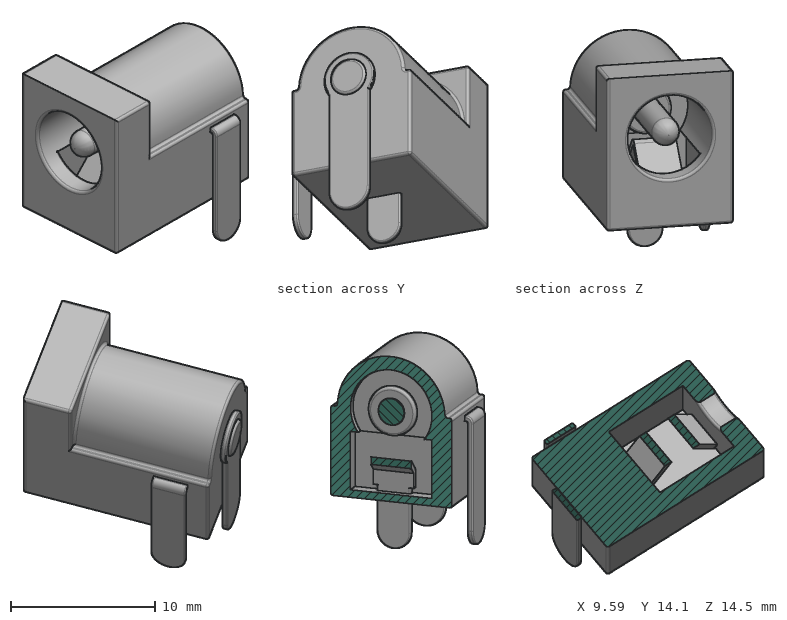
import cadquery as cq
import math


HOUSING_WIDTH = 9.0
HOUSING_LENGTH = 13.5
HOUSING_HEIGHT = 11.0
FRONT_BLOCK_LENGTH = 3.5
BARREL_DIAMETER = 8.02
AXIS_HEIGHT = 6.5
EDGE_RADIUS = 0.2

SHEET = 0.4
SHEET_EDGE_RADIUS = 0.1
INNER_BEND_RADIUS = 0.1
OUTER_BEND_RADIUS = INNER_BEND_RADIUS + SHEET
LEG_DROP = 3.5
NARROW_LEG_WIDTH = 2.5
WIDE_LEG_WIDTH = 3.0

CONTACT_WIDTH = WIDE_LEG_WIDTH
CONTACT_PEAK_HEIGHT = 5.05
CONTACT_PEAK_Y = 4.9
CONTACT_FOOT_Y = 1.9
CONTACT_LEG_Y = 7.5
CONTACT_SHOULDER_HEIGHT = 1.0

BORE_DIAMETER = 6.0
BORE_DEPTH = CONTACT_LEG_Y
CAVITY_WIDTH = BORE_DIAMETER
CAVITY_START_Y = 1.6
CAVITY_END_Y = CONTACT_LEG_Y + SHEET
CAVITY_FLOOR = 0.58
CAVITY_CEILING = 4.75

PIN_DIAMETER = 1.95
PIN_TIP_Y = 0.58
FLANGE_DIAMETER = 3.54
FLANGE_LENGTH = 0.4
RIVET_HEAD_DIAMETER = 2.65
RIVET_HEAD_LENGTH = 0.19
NEARLY_FULL = 0.99

REAR_EYE_DIAMETER = 3.74

SIDE_TERMINAL_Y = 10.75
SIDE_TERMINAL_TOP = 6.0
SIDE_TERMINAL_GAP = 0.19
SIDE_TERMINAL_INSERTION = 1.0


def cylinder_along_y(diameter, start_y, length):
    """Cylinder on the jack axis that starts at start_y and grows toward the rear."""
    plane = cq.Plane(origin=(0, start_y, AXIS_HEIGHT), xDir=(1, 0, 0), normal=(0, 1, 0))
    return cq.Workplane(plane).circle(diameter / 2).extrude(length)


def box_from(x_min, y_min, z_min, x_max, y_max, z_max):
    """Box between two opposite corners."""
    size = (x_max - x_min, y_max - y_min, z_max - z_min)
    return cq.Workplane("XY").box(*size, centered=False).translate((x_min, y_min, z_min))


def leg_outline(plane, width, top):
    """Sketch of a flat leg with a full-round tip, centred on the plane's local X axis."""
    half = width / 2
    return (
        cq.Workplane(plane)
        .moveTo(-half, top)
        .lineTo(-half, half - LEG_DROP)
        .threePointArc((0, -LEG_DROP), (half, half - LEG_DROP))
        .lineTo(half, top)
        .close()
    )


def make_housing_shell():
    """Front block and barrel on a rectangular base.

    All edges are rounded except the top front one and those where the shoulders meet the block.
    """
    half = HOUSING_WIDTH / 2
    block = box_from(-half, 0, 0, half, FRONT_BLOCK_LENGTH, HOUSING_HEIGHT)
    base = box_from(-half, 0, 0, half, HOUSING_LENGTH, AXIS_HEIGHT)
    barrel = cylinder_along_y(BARREL_DIAMETER, FRONT_BLOCK_LENGTH, HOUSING_LENGTH - FRONT_BLOCK_LENGTH)
    shell = block.union(base).union(barrel).clean()
    rounded = cq.selectors.Selector()
    shoulder_x = (half + BARREL_DIAMETER / 2) / 2
    sharp_points = [
        (0, 0, HOUSING_HEIGHT),
        (-shoulder_x, FRONT_BLOCK_LENGTH, AXIS_HEIGHT),
        (shoulder_x, FRONT_BLOCK_LENGTH, AXIS_HEIGHT),
    ]
    for point in sharp_points:
        rounded = rounded - cq.selectors.NearestToPointSelector(point)
    return shell.edges(rounded).fillet(EDGE_RADIUS)


def make_housing(inserts):
    """Housing with its rounded bore mouth and cavity lip, recessed to match the inserted metal parts."""
    bore = cylinder_along_y(BORE_DIAMETER, 0, BORE_DEPTH)
    housing = make_housing_shell().cut(bore)
    mouth = cq.selectors.RadiusNthSelector(-1)
    housing = housing.faces("<Y").edges("%CIRCLE").edges(mouth).fillet(EDGE_RADIUS)

    cavity = box_from(
        -CAVITY_WIDTH / 2, CAVITY_START_Y, CAVITY_FLOOR,
        CAVITY_WIDTH / 2, CAVITY_END_Y, CAVITY_CEILING,
    )
    lip = cq.selectors.NearestToPointSelector((0, CAVITY_START_Y, AXIS_HEIGHT - BORE_DIAMETER / 2))
    housing = housing.cut(cavity).edges(lip).fillet(EDGE_RADIUS)
    for insert in inserts:
        housing = housing.cut(insert)
    return housing


def make_pin():
    """Pin with a round tip, a flange on the bore floor and a rivet head behind the rear terminal."""
    head_y = HOUSING_LENGTH + SHEET
    flange_y = BORE_DEPTH - FLANGE_LENGTH

    shaft = cylinder_along_y(PIN_DIAMETER, PIN_TIP_Y, head_y - PIN_TIP_Y)
    shaft = shaft.faces("<Y").edges().fillet(NEARLY_FULL * PIN_DIAMETER / 2)
    flange = cylinder_along_y(FLANGE_DIAMETER, flange_y, FLANGE_LENGTH)
    flange = flange.faces("<Y").edges().fillet(EDGE_RADIUS)
    head = cylinder_along_y(RIVET_HEAD_DIAMETER, head_y, RIVET_HEAD_LENGTH)
    head = head.faces(">Y").edges().fillet(NEARLY_FULL * RIVET_HEAD_LENGTH)
    return shaft.union(flange).union(head)


def make_rear_terminal():
    """Flat terminal on the rear face: an eye around the pin above a straight leg."""
    plane = cq.Plane(origin=(0, HOUSING_LENGTH, 0), xDir=(-1, 0, 0), normal=(0, 1, 0))
    leg = leg_outline(plane, WIDE_LEG_WIDTH, AXIS_HEIGHT).extrude(SHEET)
    eye = cylinder_along_y(REAR_EYE_DIAMETER, HOUSING_LENGTH, SHEET)
    plate = leg.union(eye).faces("<Y or >Y").edges().fillet(SHEET_EDGE_RADIUS)
    return plate.cut(cylinder_along_y(PIN_DIAMETER, HOUSING_LENGTH, SHEET))


def make_side_terminal():
    """Terminal that leaves the +X side of the housing and bends down into a leg."""
    inside_x = HOUSING_WIDTH / 2 - SIDE_TERMINAL_INSERTION
    inner_x = HOUSING_WIDTH / 2 + SIDE_TERMINAL_GAP
    outer_x = inner_x + SHEET
    centre_y = SIDE_TERMINAL_Y
    bend = cq.selectors.NearestToPointSelector

    arm = box_from(
        inside_x, centre_y - NARROW_LEG_WIDTH / 2, SIDE_TERMINAL_TOP - SHEET,
        outer_x, centre_y + NARROW_LEG_WIDTH / 2, SIDE_TERMINAL_TOP,
    )
    plane = cq.Plane(origin=(inner_x, centre_y, 0), xDir=(0, 1, 0), normal=(1, 0, 0))
    leg = leg_outline(plane, NARROW_LEG_WIDTH, SIDE_TERMINAL_TOP).extrude(SHEET)
    terminal = arm.union(leg).clean()
    terminal = terminal.edges(bend((outer_x, centre_y, SIDE_TERMINAL_TOP))).fillet(OUTER_BEND_RADIUS)
    terminal = terminal.edges(bend((inner_x, centre_y, SIDE_TERMINAL_TOP - SHEET))).fillet(INNER_BEND_RADIUS)
    return terminal.faces("<Y").edges("not <X").fillet(SHEET_EDGE_RADIUS)


def make_contact():
    """Spring contact: a strip folded at 45 degrees to a peak in the bore, above a narrower leg."""
    leg_front = CONTACT_LEG_Y
    leg_back = CONTACT_LEG_Y + SHEET
    apex = CONTACT_PEAK_HEIGHT + OUTER_BEND_RADIUS * (math.sqrt(2) - 1)
    inner_apex = apex - SHEET * math.sqrt(2)
    end_step = SHEET / math.sqrt(2)
    foot_height = apex - (CONTACT_PEAK_Y - CONTACT_FOOT_Y)
    half = CONTACT_WIDTH / 2

    strip = (
        cq.Workplane("YZ", origin=(-half, 0, 0))
        .polyline([
            (CONTACT_FOOT_Y, foot_height),
            (CONTACT_PEAK_Y, apex),
            (leg_back, apex - (leg_back - CONTACT_PEAK_Y)),
            (leg_back, CONTACT_SHOULDER_HEIGHT),
            (leg_front, CONTACT_SHOULDER_HEIGHT),
            (leg_front, inner_apex - (leg_front - CONTACT_PEAK_Y)),
            (CONTACT_PEAK_Y, inner_apex),
            (CONTACT_FOOT_Y + end_step, foot_height - end_step),
        ])
        .close()
        .extrude(CONTACT_WIDTH)
    )
    bend = cq.selectors.NearestToPointSelector
    strip = strip.edges(bend((0, CONTACT_PEAK_Y, apex))).fillet(OUTER_BEND_RADIUS)
    strip = strip.edges(bend((0, CONTACT_PEAK_Y, inner_apex))).fillet(INNER_BEND_RADIUS)

    plane = cq.Plane(origin=(0, leg_back, 0), xDir=(1, 0, 0), normal=(0, -1, 0))
    leg = leg_outline(plane, NARROW_LEG_WIDTH, CONTACT_SHOULDER_HEIGHT).extrude(SHEET)
    leg = leg.faces("<Y or >Y").edges("not >Z").fillet(SHEET_EDGE_RADIUS)
    return strip.union(leg)


pin = make_pin()
rear_terminal = make_rear_terminal()
side_terminal = make_side_terminal()
contact = make_contact()
housing = make_housing([pin, side_terminal, contact])

result = cq.Compound.makeCompound([
    housing.solids().val(),
    pin.solids().val(),
    rear_terminal.solids().val(),
    side_terminal.solids().val(),
    contact.solids().val(),
])